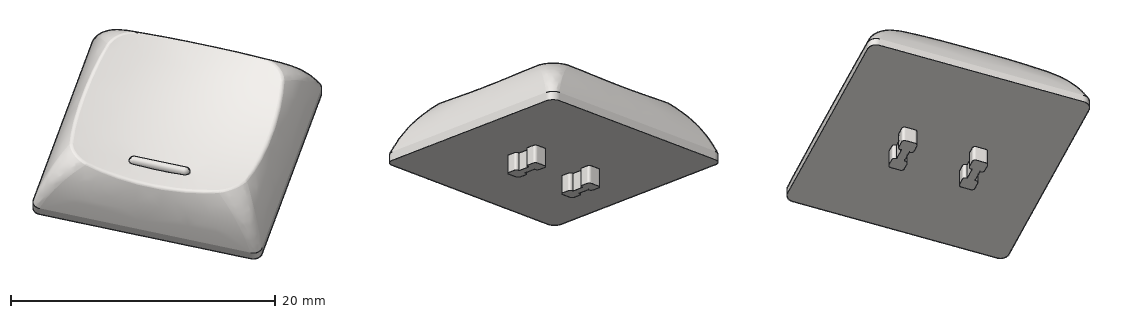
import cadquery as cq
import math


base_width = 18.0
base_corner_radius = 0.7
skirt_height = 0.68

rim_height = 4.4
rim_half_width = 7.07
rim_seam_along = 5.1
rim_seam_out = 6.87
inset_rate_at_skirt = 0.33
section_levels = (0.0, 0.6, 1.15)

dish_radius = 28.5
dish_bottom = 3.13
rim_fillet = 0.3

bar_radius = 0.4
bar_spacing = 4.0
bar_y = -4.97
bar_axis_height = 3.6

leg_offset = 2.87
leg_width = 1.24
leg_length = 3.1
leg_height = 1.44
leg_groove_length = 1.0
leg_groove_depth = 0.3
leg_corner_radius = 0.24


def blend(start, end, share):
    """Value lying the given share of the way from start to end."""
    return start + (end - start) * share


def shell_section(level):
    """Outline of the shell: four bulged sides joined by four round corners."""
    share = inset_rate_at_skirt * level + (1 - inset_rate_at_skirt) * level**2
    half_base = base_width / 2
    side_mid = blend(half_base, rim_half_width, share)
    along = blend(half_base - base_corner_radius, rim_seam_along, share)
    out = blend(half_base, rim_seam_out, share)
    side_end_angle = 2 * math.atan((side_mid - out) / along)
    corner_turn = math.pi / 2 - 2 * side_end_angle
    corner_sagitta = (out - along) / math.sqrt(2) * math.tan(corner_turn / 4)
    corner_mid = (out + along) / 2 + corner_sagitta / math.sqrt(2)
    height = blend(skirt_height, rim_height, level)

    def turned(x, y, quarter):
        for _ in range(quarter):
            x, y = -y, x
        return cq.Vector(x, y, height)

    edges = []
    for quarter in range(4):
        side_start = turned(out, -along, quarter)
        side_end = turned(out, along, quarter)
        corner_end = turned(along, out, quarter)
        if level > 0:
            edges.append(cq.Edge.makeThreePointArc(side_start, turned(side_mid, 0, quarter), side_end))
        else:
            edges.append(cq.Edge.makeLine(side_start, side_end))
        corner_point = turned(corner_mid, corner_mid, quarter)
        edges.append(cq.Edge.makeThreePointArc(side_end, corner_point, corner_end))
    return cq.Wire.assembleEdges(edges)


def make_cap():
    skirt = (
        cq.Workplane("XY")
        .rect(base_width, base_width)
        .extrude(skirt_height)
        .edges("|Z")
        .fillet(base_corner_radius)
    )
    sections = [shell_section(level) for level in section_levels]
    shell = cq.Workplane(cq.Solid.makeLoft(sections))
    dish = (
        cq.Workplane()
        .sphere(dish_radius)
        .rotate((0, 0, 0), (1, 0, 0), 90)
        .translate((0, 0, dish_bottom + dish_radius))
    )
    shell = shell.cut(dish)
    rim_edges = shell.faces("%SPHERE").edges()
    shell = rim_edges.fillet(rim_fillet)
    return skirt.union(shell)


def make_bar():
    bar = (
        cq.Workplane("YZ")
        .circle(bar_radius)
        .extrude(bar_spacing / 2, both=True)
    )
    ends = cq.Workplane().pushPoints([(-bar_spacing / 2, 0), (bar_spacing / 2, 0)]).sphere(bar_radius)
    return bar.union(ends).translate((0, bar_y, bar_axis_height))


def make_leg(x):
    """Leg with a shallow groove down both broad sides and rounded pad corners."""
    pad_length = (leg_length - leg_groove_length) / 2
    pad_y = (leg_groove_length + pad_length) / 2
    waist_width = leg_width - 2 * leg_groove_depth
    pads = (
        cq.Workplane()
        .pushPoints([(x, -pad_y), (x, pad_y)])
        .rect(leg_width, pad_length)
        .extrude(-leg_height)
        .edges("|Z")
        .fillet(leg_corner_radius)
    )
    waist = cq.Workplane().center(x, 0).rect(waist_width, 2 * pad_y).extrude(-leg_height)
    return pads.union(waist)


result = make_cap().union(make_bar())
for side in (-1, 1):
    result = result.union(make_leg(side * leg_offset))